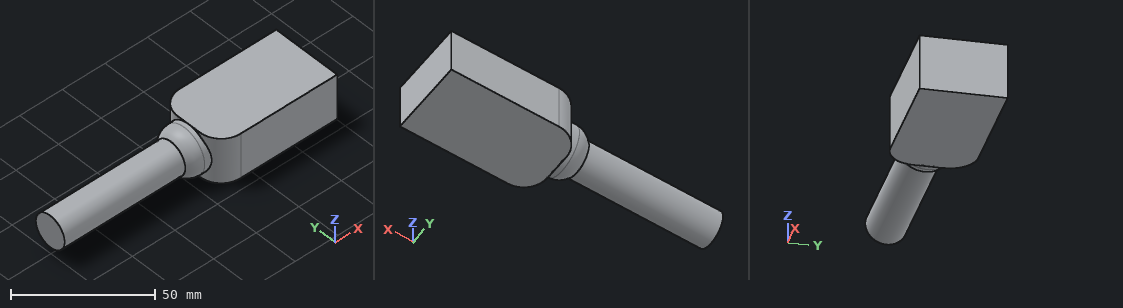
import cadquery as cq
import math

total_length = 120.5
body_width = 31.5
body_height = 21.0

body_start = 65.1
body_corner_radius = 10.0

cable_radius = 15.0 / 2
collar_radius = body_height / 2
collar_start = 56.6
dome_radius = 8.0

dome_center_height = collar_radius - dome_radius
dome_length = math.sqrt(dome_radius**2 - (cable_radius - dome_center_height) ** 2)
dome_end = collar_start + dome_length

collar_end = body_start + body_corner_radius


def make_body():
    """Block with its two vertical edges on the cable side rounded."""
    length = total_length - body_start
    block = cq.Workplane("XY").box(length, body_width, body_height, centered=(False, True, True))
    return block.edges("|Z and <X").fillet(body_corner_radius).translate((body_start, 0, 0))


def make_cable_and_collar():
    """Cable and domed collar revolved about the X axis."""
    half_angle = math.asin(dome_length / dome_radius) / 2
    dome_middle = (
        dome_end - dome_radius * math.sin(half_angle),
        dome_center_height + dome_radius * math.cos(half_angle),
    )
    profile = (
        cq.Workplane("XY")
        .moveTo(0, 0)
        .lineTo(0, cable_radius)
        .lineTo(collar_start, cable_radius)
        .threePointArc(dome_middle, (dome_end, collar_radius))
        .lineTo(collar_end, collar_radius)
        .lineTo(collar_end, 0)
        .close()
    )
    return profile.revolve(360, (0, 0, 0), (1, 0, 0))


result = make_body().union(make_cable_and_collar())